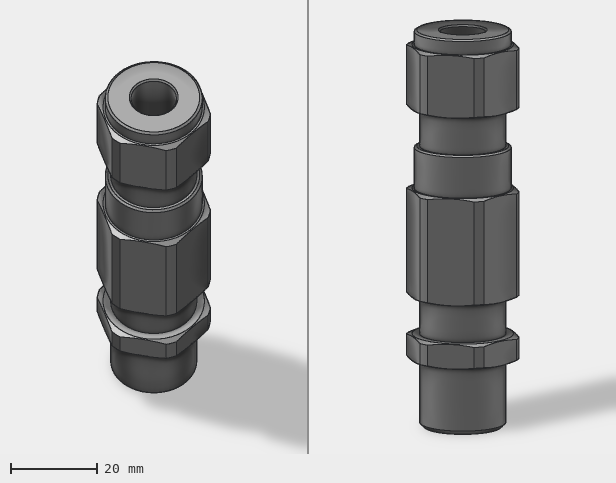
import cadquery as cq
import math

TOTAL_HEIGHT = 94.0
THREAD_LENGTH = 16.0
LOCK_HEX_HEIGHT = 6.0
NECK_LENGTH = 9.0
BODY_HEX_HEIGHT = 25.5
COLLAR_LENGTH = 10.0
CAP_HEX_HEIGHT = 15.0

LOCK_HEX_BASE = THREAD_LENGTH
BODY_HEX_BASE = LOCK_HEX_BASE + LOCK_HEX_HEIGHT + NECK_LENGTH
COLLAR_BASE = BODY_HEX_BASE + BODY_HEX_HEIGHT
COLLAR_TOP = COLLAR_BASE + COLLAR_LENGTH
CAP_HEX_BASE = COLLAR_TOP + NECK_LENGTH
CAP_RIM_BASE = CAP_HEX_BASE + CAP_HEX_HEIGHT

SHANK_DIAMETER = 20.0
SHANK_CHAMFER = 1.0
COLLAR_DIAMETER = 22.5
COLLAR_CHAMFER_WIDTH = 0.6
COLLAR_CHAMFER_HEIGHT = 0.35

ACROSS_FLATS = 24.0
HEX_SIDES = 6
HALF_SIDE_ANGLE = 180 / HEX_SIDES
ACROSS_CORNERS = 1.1 * ACROSS_FLATS
HEX_FACE_DIAMETER = 23.5
HEX_BEVEL_ANGLE = 20.0

THROUGH_DIAMETER = 8.3
CABLE_BORE_DIAMETER = 10.5
BORE_STEP_HEIGHT = CAP_HEX_BASE
MOUTH_CHAMFER = 0.4


def cylinder(diameter, base, height):
    """Cylinder on the Z axis standing on the given base height."""
    return cq.Workplane("XY").workplane(offset=base).circle(diameter / 2).extrude(height)


def hex_section(base, height):
    """Hexagon with rounded corners and a conical bevel at both ends."""
    corner_radius = ACROSS_CORNERS / 2
    face_radius = HEX_FACE_DIAMETER / 2
    bevel_height = (corner_radius - face_radius) * math.tan(math.radians(HEX_BEVEL_ANGLE))
    point_diameter = ACROSS_FLATS / math.cos(math.radians(HALF_SIDE_ANGLE))
    prism = (
        cq.Workplane("XY")
        .workplane(offset=base)
        .transformed(rotate=(0, 0, HALF_SIDE_ANGLE))
        .polygon(HEX_SIDES, point_diameter)
        .extrude(height)
    )
    turned_blank = (
        cq.Workplane("XZ")
        .moveTo(0, base)
        .lineTo(face_radius, base)
        .lineTo(corner_radius, base + bevel_height)
        .lineTo(corner_radius, base + height - bevel_height)
        .lineTo(face_radius, base + height)
        .lineTo(0, base + height)
        .close()
        .revolve(360, (0, 0, 0), (0, 1, 0))
    )
    return prism.intersect(turned_blank)


def collar(base, height):
    """Round collar with a shallow chamfer on its upper edge."""
    blank = cylinder(COLLAR_DIAMETER, base, height)
    return blank.faces(">Z").edges().chamfer(COLLAR_CHAMFER_HEIGHT, COLLAR_CHAMFER_WIDTH)


def shank():
    """Round core from the threaded end up into the cap, chamfered at the entry."""
    return cylinder(SHANK_DIAMETER, 0, CAP_RIM_BASE).faces("<Z").edges().chamfer(SHANK_CHAMFER)


def stepped_bore():
    """Through hole, wider cable bore at the cap end and its chamfered mouth."""
    bore_radius = CABLE_BORE_DIAMETER / 2
    return (
        cq.Workplane("XZ")
        .lineTo(THROUGH_DIAMETER / 2, 0)
        .lineTo(THROUGH_DIAMETER / 2, BORE_STEP_HEIGHT)
        .lineTo(bore_radius, BORE_STEP_HEIGHT)
        .lineTo(bore_radius, TOTAL_HEIGHT - MOUTH_CHAMFER)
        .lineTo(bore_radius + MOUTH_CHAMFER, TOTAL_HEIGHT)
        .lineTo(0, TOTAL_HEIGHT)
        .close()
        .revolve(360, (0, 0, 0), (0, 1, 0))
    )


result = (
    shank()
    .union(hex_section(LOCK_HEX_BASE, LOCK_HEX_HEIGHT))
    .union(hex_section(BODY_HEX_BASE, BODY_HEX_HEIGHT))
    .union(collar(COLLAR_BASE, COLLAR_LENGTH))
    .union(hex_section(CAP_HEX_BASE, CAP_HEX_HEIGHT))
    .union(collar(CAP_RIM_BASE, TOTAL_HEIGHT - CAP_RIM_BASE))
    .cut(stepped_bore())
)